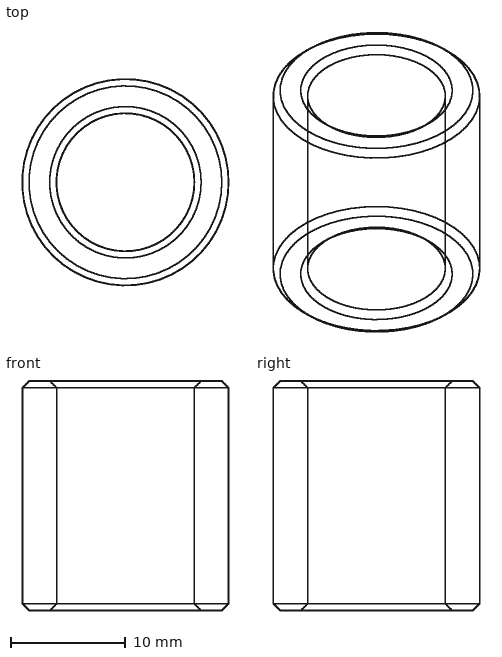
import cadquery as cq

length = 20.0
outer_diameter = 18.0
bore_diameter = 12.0
edge_chamfer = 0.6

outer_radius = outer_diameter / 2
bore_radius = bore_diameter / 2


def make_body():
    """Solid cylinder with both outer rims chamfered."""
    cylinder = cq.Workplane("XY").circle(outer_radius).extrude(length)
    return cylinder.edges("%CIRCLE").chamfer(edge_chamfer)


def make_bore():
    """Through bore that flares out at 45 degrees at both ends."""
    mouth_radius = bore_radius + edge_chamfer
    profile = [
        (0, 0),
        (mouth_radius, 0),
        (bore_radius, edge_chamfer),
        (bore_radius, length - edge_chamfer),
        (mouth_radius, length),
        (0, length),
    ]
    return cq.Workplane("XZ").polyline(profile).close().revolve(360, (0, 0, 0), (0, 1, 0))


result = make_body().cut(make_bore())